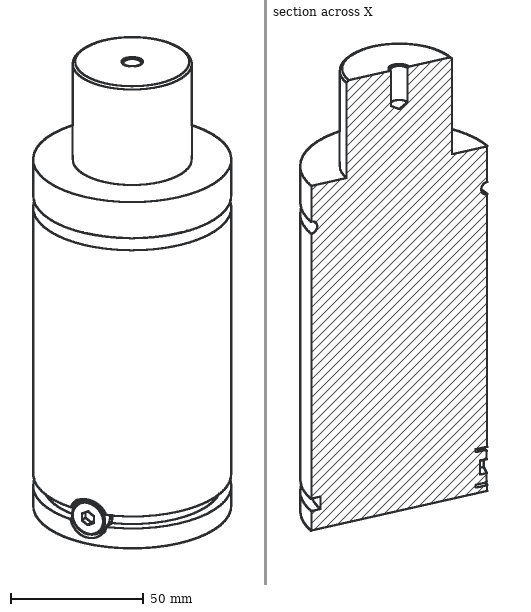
import cadquery as cq
import math

body_diameter = 75.0
body_radius = body_diameter / 2
body_height = 145.0

total_height = 186.0
rod_diameter = 45.0
rod_chamfer = 1.0

rod_hole_diameter = 6.9
rod_hole_depth = 14.9
rod_hole_chamfer = 0.5
drill_point_angle = 118.0

round_groove_z = 127.5
round_groove_radius = 2.51

base_groove_bottom = 8.4
base_groove_width = 5.0
base_groove_floor_diameter = 67.1

plug_z = 10.6
plug_diameter = 14.0
plug_chamfer = 0.5
plug_face_y = -37.2
pocket_diameter = 16.0
pocket_floor_y = -32.5
socket_across_corners = 5.8
socket_depth = 2.8


def disc(diameter, bottom, height):
    """Solid cylinder on the Z axis."""
    return cq.Workplane("XY", origin=(0, 0, bottom)).circle(diameter / 2).extrude(height)


def plug_plane(y):
    """Plane facing -Y, centred on the plug axis."""
    return cq.Workplane("XZ", origin=(0, y, plug_z))


def make_rod():
    rod = disc(rod_diameter, 0, total_height).faces(">Z").chamfer(rod_chamfer)
    hole = disc(rod_hole_diameter, total_height - rod_hole_depth, rod_hole_depth)
    tip_height = rod_hole_diameter / 2 / math.tan(math.radians(drill_point_angle / 2))
    tip = cq.Workplane("XY").add(
        cq.Solid.makeCone(
            rod_hole_diameter / 2,
            0,
            tip_height,
            pnt=cq.Vector(0, 0, total_height - rod_hole_depth),
            dir=cq.Vector(0, 0, -1),
        )
    )
    rod = rod.cut(hole).cut(tip)
    rim = cq.selectors.RadiusNthSelector(0)
    return rod.faces(">Z").edges(rim).chamfer(rod_hole_chamfer)


def make_body():
    body = disc(body_diameter, 0, body_height)
    round_groove = cq.Workplane().add(
        cq.Solid.makeTorus(body_radius, round_groove_radius, cq.Vector(0, 0, round_groove_z))
    )
    base_groove = disc(body_diameter, base_groove_bottom, base_groove_width).cut(
        disc(base_groove_floor_diameter, base_groove_bottom, base_groove_width)
    )
    return body.cut(round_groove).cut(base_groove)


def make_plug_pocket():
    return plug_plane(pocket_floor_y).circle(pocket_diameter / 2).extrude(body_radius + pocket_floor_y)


def make_plug():
    plug = plug_plane(pocket_floor_y).circle(plug_diameter / 2).extrude(pocket_floor_y - plug_face_y)
    plug = plug.faces("<Y").chamfer(plug_chamfer)
    socket = (
        plug_plane(plug_face_y)
        .transformed(rotate=(0, 0, 90))
        .polygon(6, socket_across_corners)
        .extrude(-socket_depth)
    )
    return plug.cut(socket)


result = make_body().union(make_rod()).cut(make_plug_pocket()).union(make_plug())